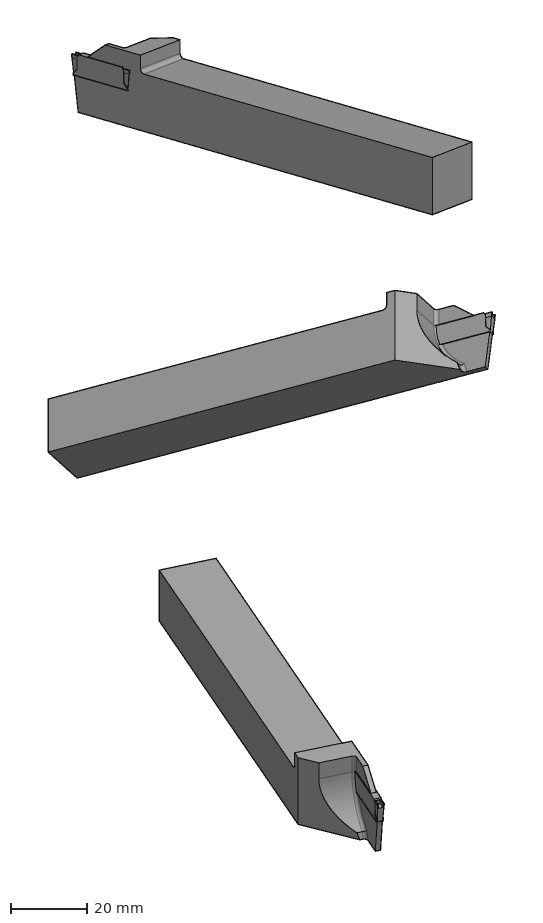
import cadquery as cq
import math

total_length = 125
shank_size = 16.0
nose_bottom_x = 2.1
nose_top_x = 0.8

total_height = 21.0
head_front_x = 11.5
head_back_x = 23.8
ramp_foot_x = 5.4
ramp_foot_z = 16.2
head_corner_radius = 1.2

blade_thickness = 1.5
bevel_end_x = 21.2
relief_foot_x = 8.6
relief_arc_end_z = 2.0
relief_wall_x = 17.0
relief_radius = 16.5
blade_root_radius = 1.0

insert_length = 20
insert_width = 2.0
insert_bottom_z = 10.1
insert_end_z = 15.9
insert_end_slant = 0.6
insert_overhang = (insert_width - blade_thickness) / 2
land_length = 2.5
land_ramp = 0.2
flank_length = 1.9
flank_bottom_z = 12.0
flank_tip_z = 10.8
flank_depth = 0.2
groove_length = 2.1
groove_width = 1.2
groove_floor_z = 14.8
insert_middle_x = insert_length / 2

cut_margin = 1.2
pick_margin = 0.1


def extrude_along_y(profile, y_start, y_end):
    """Extrude a closed XZ profile from y_start to y_end."""
    return profile.extrude(y_start - y_end).translate((0, y_start, 0))


def make_holder_blank():
    """Full-width side outline of the shank, head and sloping nose."""
    profile = (
        cq.Workplane("XZ")
        .moveTo(nose_bottom_x, 0)
        .lineTo(total_length, 0)
        .lineTo(total_length, shank_size)
        .lineTo(head_back_x, shank_size)
        .lineTo(head_back_x, total_height)
        .lineTo(head_front_x, total_height)
        .lineTo(ramp_foot_x, ramp_foot_z)
        .lineTo(land_length, ramp_foot_z)
        .lineTo(nose_top_x, insert_bottom_z)
        .close()
    )
    blank = extrude_along_y(profile, 0, shank_size)
    corner = cq.selectors.BoxSelector(
        (head_back_x - pick_margin, -cut_margin, shank_size - pick_margin),
        (head_back_x + pick_margin, shank_size + cut_margin, shank_size + pick_margin),
    )
    return blank.edges(corner).fillet(head_corner_radius)


def make_bevel_cutter():
    """Triangular prism that leaves a 45 degree face behind the blade."""
    bevel_run = shank_size + cut_margin - blade_thickness
    bevel_top_x = bevel_end_x + cut_margin
    return (
        cq.Workplane("XY", origin=(0, 0, -cut_margin))
        .moveTo(bevel_top_x - bevel_run, blade_thickness)
        .lineTo(bevel_top_x, shank_size + cut_margin)
        .lineTo(bevel_top_x - bevel_run, shank_size + cut_margin)
        .close()
        .extrude(total_height + 2 * cut_margin)
    )


def make_relief_cutter():
    """Hollow behind the blade: upright wall, round sweep and sloping foot, rounded at the blade."""
    arc_drop = shank_size - relief_arc_end_z
    arc_center_x = relief_wall_x - relief_radius
    arc_end_x = arc_center_x + math.sqrt(relief_radius**2 - arc_drop**2)
    arc_middle_angle = math.asin(arc_drop / relief_radius) / 2
    arc_middle = (
        arc_center_x + relief_radius * math.cos(arc_middle_angle),
        shank_size - relief_radius * math.sin(arc_middle_angle),
    )
    foot_slope = (arc_end_x - relief_foot_x) / relief_arc_end_z
    profile = (
        cq.Workplane("XZ")
        .moveTo(-cut_margin, total_height + cut_margin)
        .lineTo(relief_wall_x, total_height + cut_margin)
        .lineTo(relief_wall_x, shank_size)
        .threePointArc(arc_middle, (arc_end_x, relief_arc_end_z))
        .lineTo(relief_foot_x - foot_slope * cut_margin, -cut_margin)
        .lineTo(-cut_margin, -cut_margin)
        .close()
    )
    cutter = extrude_along_y(profile, blade_thickness, shank_size + cut_margin)
    root_edges = cq.selectors.BoxSelector(
        (0, blade_thickness - pick_margin, -cut_margin / 2),
        (relief_wall_x + cut_margin, blade_thickness + pick_margin, total_height + cut_margin / 2),
    )
    return cutter.edges(root_edges).fillet(blade_root_radius)


def make_insert_blank():
    """Straight-sided insert with slanted ends and a raised middle, also the shape of its seat."""
    profile = (
        cq.Workplane("XZ")
        .moveTo(insert_end_slant, insert_bottom_z)
        .lineTo(insert_length - insert_end_slant, insert_bottom_z)
        .lineTo(insert_length, insert_end_z)
        .lineTo(insert_length - land_length + land_ramp, insert_end_z)
        .lineTo(insert_length - land_length, ramp_foot_z)
        .lineTo(land_length, ramp_foot_z)
        .lineTo(land_length - land_ramp, insert_end_z)
        .lineTo(0, insert_end_z)
        .close()
    )
    return extrude_along_y(profile, -insert_overhang, insert_width - insert_overhang)


def make_flank_cutter():
    """Wedge that thins the front side of the cutting end, deepest at its foot."""
    outline = (
        cq.Workplane("XZ")
        .moveTo(-cut_margin, insert_end_z)
        .lineTo(flank_length, insert_end_z)
        .lineTo(flank_length, flank_bottom_z)
        .lineTo(flank_length - (flank_bottom_z - flank_tip_z), flank_tip_z)
        .lineTo(-cut_margin, flank_tip_z)
        .close()
    )
    outer_y = -insert_overhang
    wedge = (
        cq.Workplane("YZ", origin=(-cut_margin, 0, 0))
        .moveTo(outer_y, insert_end_z)
        .lineTo(outer_y + flank_depth, flank_tip_z)
        .lineTo(outer_y, flank_tip_z)
        .close()
        .extrude(flank_length + cut_margin)
    )
    return wedge.intersect(extrude_along_y(outline, outer_y, insert_width))


def make_chip_groove_cutter():
    """Flat-floored groove in the top of the cutting end, open at the end face."""
    groove_height = ramp_foot_z - groove_floor_z
    return cq.Workplane("XY").box(
        groove_length + cut_margin, groove_width, groove_height, centered=(False, True, False)
    ).translate((-cut_margin, blade_thickness / 2, groove_floor_z))


def make_insert():
    """Double-ended insert with relieved sides and a chip groove at both cutting ends."""
    body = make_insert_blank()
    middle = (insert_middle_x, blade_thickness / 2, 0)
    flank = make_flank_cutter()
    groove = make_chip_groove_cutter()
    body = body.cut(groove).cut(groove.mirror("YZ", middle))
    for end_flank in (flank, flank.mirror("YZ", middle)):
        for side_flank in (end_flank, end_flank.mirror("XZ", middle)):
            body = body.cut(side_flank)
    return body


insert = make_insert()
holder = make_holder_blank().cut(make_bevel_cutter()).cut(make_relief_cutter()).cut(make_insert_blank())

result = cq.Compound.makeCompound([holder.val(), insert.val()])